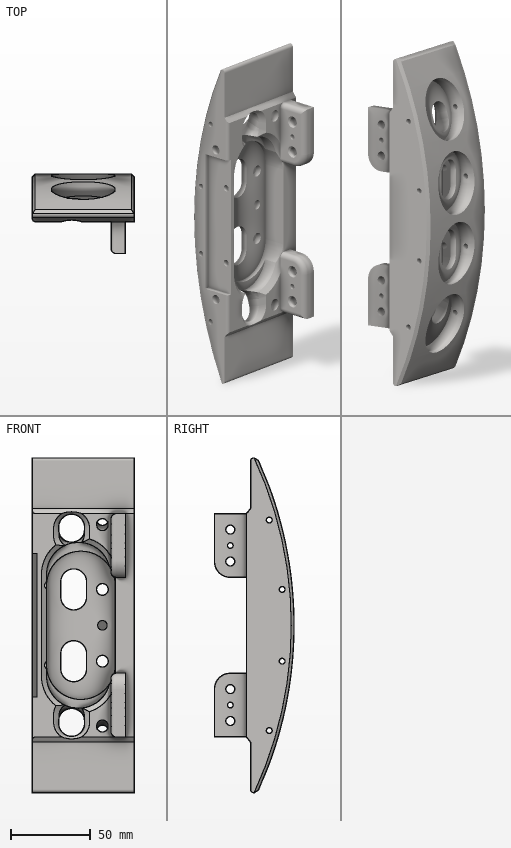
import cadquery as cq
import math

body_width = 64.0
body_length = 210.0
body_depth = 30.0
back_radius = 250.0
back_edge_break = 1.8
tip_edge_radius = 2.0
pad_length = 140.0
pad_step = 2.7
pad_ramp = 3.3
pad_edge_radius = 2.0

recess_depth = 3.0
recess_height = 90.0
recess_reach = 19.0

pocket_width = 43.0
pocket_center_x = -1.5
floor_depth = 15.0
floor_arc_z = 25.0
shelf_width = 40.0
shelf_center_x = -3.0
shelf_depth = 12.0
shelf_arc_z = 32.0
pocket_chamfer = 3.2

cup_diameter = 40.0
cup_depth = 10.0
inner_cup_z = 22.5
tilt_deg = 16.0
cup_overrun = 20.0

slot_width = 16.0
inner_slot_x = -6.0
inner_slot_length = 25.6
outer_slot_x = -7.3
outer_slot_z = 58.3
outer_slot_straight = 4.6
outer_slot_chamfer = 3.3
screw_x = 12.0
screw_diameter = 7.2
dowel_diameter = 6.0
dowel_depth = 8.0

cross_hole_diameter = 3.5
cross_holes = [(14.4, 66.0), (22.5, 22.5)]
side_dowel_yz = (10.0, 50.0)
side_dowel_depth = 10.0
recess_hole_yz = (4.0, 25.0)
recess_hole_diameter = 4.2

lug_x = 17.4
lug_thickness = 9.0
lug_reach = 20.0
lug_bottom_z = 30.0
lug_top_z = pad_length / 2
lug_corner_radius = 10.0
lug_edge_radius = 3.3
lug_hole_spacing = 20.0
lug_hole_diameter = 5.5
lug_sink_diameter = 7.5
lug_pin_diameter = 3.4

half_width = body_width / 2
half_length = body_length / 2
tilt = math.radians(tilt_deg)
arc_center_y = body_depth - back_radius
mirror_signs = (1, -1)


def back_y(z):
    """Y of the cylindrical back at height z."""
    return arc_center_y + math.sqrt(back_radius**2 - z**2)


def front_plane(y, x=0.0, z=0.0):
    """Plane at depth y whose normal points into the body (+Y), local x = -X, local y = Z."""
    return cq.Plane(origin=(x, y, z), xDir=(-1, 0, 0), normal=(0, 1, 0))


def side_plane(x):
    """Plane at x whose normal is +X, local x = Y and local y = Z."""
    return cq.Plane(origin=(x, 0, 0), xDir=(0, 1, 0), normal=(1, 0, 0))


def vertical_slot(plane, width, straight):
    return cq.Workplane(plane).slot2D(straight + width, width, 90)


def pad_edge_rounding():
    """Waste outside the rounded left edge of the raised front pad."""
    waste_length = pad_length + 2 * pad_ramp
    return (
        cq.Workplane("XY", origin=(-half_width, 0, -waste_length / 2))
        .lineTo(pad_edge_radius, 0)
        .radiusArc((0, pad_edge_radius), pad_edge_radius)
        .close()
        .extrude(waste_length)
    )


def body():
    pad_half = pad_length / 2
    outline = (
        cq.Workplane(side_plane(-half_width))
        .moveTo(0, -pad_half)
        .lineTo(pad_step, -pad_half - pad_ramp)
        .lineTo(pad_step, tip_edge_radius - half_length)
        .radiusArc((pad_step + tip_edge_radius, -half_length), -tip_edge_radius)
        .lineTo(back_y(half_length), -half_length)
        .threePointArc((body_depth, 0), (back_y(half_length), half_length))
        .lineTo(pad_step + tip_edge_radius, half_length)
        .radiusArc((pad_step, half_length - tip_edge_radius), -tip_edge_radius)
        .lineTo(pad_step, pad_half + pad_ramp)
        .lineTo(0, pad_half)
        .close()
    )
    block = outline.extrude(body_width)
    block = block.faces(">Y").edges().chamfer(back_edge_break)
    return block.cut(pad_edge_rounding())


def lug():
    corner_y = -lug_reach
    plate = (
        cq.Workplane(side_plane(lug_x))
        .moveTo(0, lug_bottom_z)
        .lineTo(0, lug_top_z)
        .lineTo(corner_y, lug_top_z)
        .lineTo(corner_y, lug_bottom_z + lug_corner_radius)
        .radiusArc((corner_y + lug_corner_radius, lug_bottom_z), -lug_corner_radius)
        .close()
        .extrude(lug_thickness)
    )
    free_edges = plate.faces("<X").edges().edges("not(>Y)")
    plate = free_edges.fillet(lug_edge_radius)
    mid_y = -lug_reach / 2
    mid_z = (lug_bottom_z + lug_top_z) / 2
    outer = [(mid_y, mid_z + s * lug_hole_spacing / 2) for s in mirror_signs]
    sink_depth = (lug_sink_diameter - lug_hole_diameter) / 2
    plane = side_plane(lug_x)
    plate = plate.cut(
        cq.Workplane(plane).pushPoints(outer).circle(lug_hole_diameter / 2).extrude(lug_thickness)
    )
    plate = plate.cut(
        cq.Workplane(plane).pushPoints(outer).circle(lug_sink_diameter / 2).extrude(sink_depth, taper=45)
    )
    return plate.cut(
        cq.Workplane(plane).center(mid_y, mid_z).circle(lug_pin_diameter / 2).extrude(lug_thickness)
    )


def side_recess():
    return cq.Workplane("XY").box(
        recess_depth, recess_reach, recess_height, centered=(False, False, True)
    ).translate((-half_width, 0, 0))


def front_pocket():
    floor_start = front_plane(0, pocket_center_x)
    shelf_start = front_plane(0, shelf_center_x)
    floor = vertical_slot(floor_start, pocket_width, 2 * floor_arc_z).extrude(floor_depth)
    shelf = vertical_slot(shelf_start, shelf_width, 2 * shelf_arc_z).extrude(shelf_depth)
    rim = vertical_slot(shelf_start, shelf_width + 2 * pocket_chamfer, 2 * shelf_arc_z)
    return floor.union(shelf).union(rim.extrude(pocket_chamfer, taper=45))


def inner_openings(sign):
    z = sign * inner_cup_z
    straight = inner_slot_length - slot_width
    slot = vertical_slot(front_plane(0, inner_slot_x, z), slot_width, straight).extrude(body_depth)
    screw = cq.Workplane(front_plane(0, screw_x, z)).circle(screw_diameter / 2).extrude(body_depth)
    cup_floor = back_y(inner_cup_z) - cup_depth
    cup = cq.Workplane(front_plane(cup_floor, 0, z)).circle(cup_diameter / 2)
    return slot.union(screw).union(cup.extrude(cup_depth + cup_overrun))


def outer_openings(sign):
    """Tilted round pocket, screw hole and chamfered slot, all leaning outward toward the back."""
    direction = (0, math.cos(tilt), sign * math.sin(tilt))

    def tilted_plane(x, radius):
        origin = (x, arc_center_y + radius * math.cos(tilt), sign * radius * math.sin(tilt))
        return cq.Plane(origin=origin, xDir=(-1, 0, 0), normal=direction)

    cup = cq.Workplane(tilted_plane(0, back_radius - cup_depth)).circle(cup_diameter / 2)
    cup = cup.extrude(cup_depth + cup_overrun)
    screw = cq.Workplane(tilted_plane(screw_x, back_radius - body_depth)).circle(screw_diameter / 2)
    screw = screw.extrude(body_depth)

    def section(y, width):
        z = sign * (outer_slot_z + y * math.tan(tilt))
        return vertical_slot(front_plane(y, outer_slot_x, z), width, outer_slot_straight).wires().val()

    mouth = section(0, slot_width + 2 * outer_slot_chamfer)
    throat = section(outer_slot_chamfer, slot_width)
    exit_end = section(back_y(outer_slot_z), slot_width)
    slot = cq.Workplane(cq.Solid.makeLoft([mouth, throat], True))
    slot = slot.union(cq.Workplane(cq.Solid.makeLoft([throat, exit_end], True)))
    return cup.union(screw).union(slot)


def side_hole(y, z, diameter, depth):
    plane = side_plane(-half_width)
    points = [(y, sign * z) for sign in mirror_signs]
    return cq.Workplane(plane).pushPoints(points).circle(diameter / 2).extrude(depth)


result = body().cut(side_recess()).cut(front_pocket())
for sign in mirror_signs:
    result = result.cut(inner_openings(sign)).cut(outer_openings(sign))

floor_dowel = cq.Workplane(front_plane(floor_depth, screw_x)).circle(dowel_diameter / 2)
result = result.cut(floor_dowel.extrude(dowel_depth))

for y, z in cross_holes:
    result = result.cut(side_hole(y, z, cross_hole_diameter, body_width))
result = result.cut(side_hole(*side_dowel_yz, dowel_diameter, side_dowel_depth))
recess_wall_end = half_width + pocket_center_x - pocket_width / 2
result = result.cut(side_hole(*recess_hole_yz, recess_hole_diameter, recess_wall_end))

upper_lug = lug()
result = result.union(upper_lug).union(upper_lug.mirror("XY"))